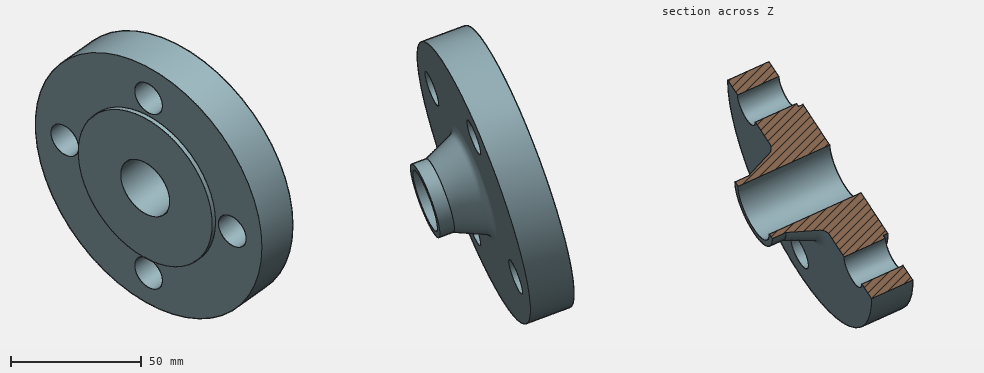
import cadquery as cq

total_length = 40.0
raised_face_height = 2.0
flange_thickness = 18.0
neck_length = 6.0

flange_diameter = 115.0
raised_face_diameter = 68.0
neck_diameter = 30.0
hub_base_diameter = 42.4
bore_diameter = 24.8
root_fillet_radius = 4.0

bolt_count = 4
bolt_circle_diameter = 85.0
bolt_hole_diameter = 14.0

flange_front = raised_face_height
flange_back = flange_front + flange_thickness
neck_start = total_length - neck_length

selection_margin = 0.1


def make_body():
    """Revolve the raised face, flange, tapered hub and neck about Y."""
    profile = (
        cq.Workplane("XY")
        .moveTo(0, 0)
        .lineTo(raised_face_diameter / 2, 0)
        .lineTo(raised_face_diameter / 2, flange_front)
        .lineTo(flange_diameter / 2, flange_front)
        .lineTo(flange_diameter / 2, flange_back)
        .lineTo(hub_base_diameter / 2, flange_back)
        .lineTo(neck_diameter / 2, neck_start)
        .lineTo(neck_diameter / 2, total_length)
        .lineTo(0, total_length)
        .close()
    )
    body = profile.revolve(360, (0, 0, 0), (0, 1, 0))
    at_flange_back = cq.selectors.BoxSelector(
        (-hub_base_diameter, flange_back - selection_margin, -hub_base_diameter),
        (hub_base_diameter, flange_back + selection_margin, hub_base_diameter),
    )
    smallest_circle = cq.selectors.RadiusNthSelector(0)
    hub_root = body.edges(at_flange_back).edges("%CIRCLE").edges(smallest_circle)
    return hub_root.fillet(root_fillet_radius)


def through_cylinder(diameter):
    """Cylinder along Y reaching through the whole part."""
    return cq.Workplane("XZ").circle(diameter / 2).extrude(-total_length)


def bolt_hole_cutters():
    """Cylinders on the bolt circle, the first on the X axis."""
    return (
        cq.Workplane("XZ")
        .polarArray(bolt_circle_diameter / 2, 0, 360, bolt_count)
        .circle(bolt_hole_diameter / 2)
        .extrude(-total_length)
    )


result = make_body().cut(through_cylinder(bore_diameter)).cut(bolt_hole_cutters())